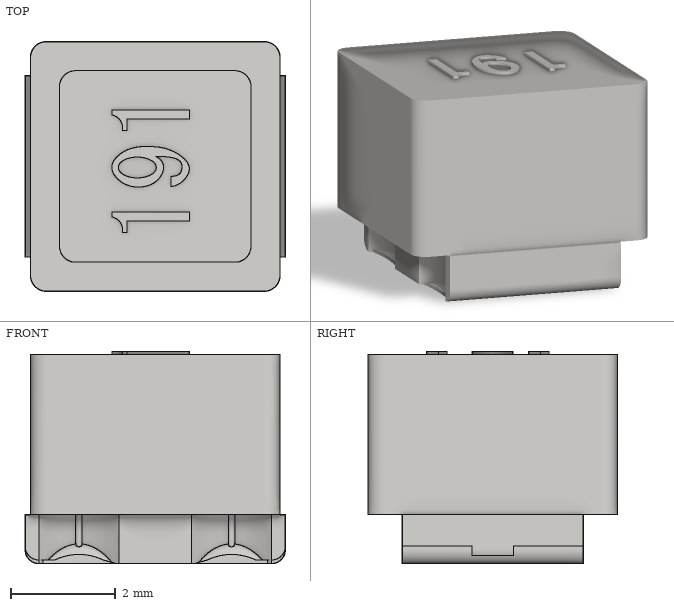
import cadquery as cq
import math

BASE_LENGTH = 5.0
BASE_WIDTH = 3.485
BASE_HEIGHT = 0.94
BASE_ROUND = 0.265

HOUSING_SIDE = 4.8
HOUSING_HEIGHT = 3.08
CORE_SIDE = 3.68
CORNER_RADIUS = 0.31

NOTCH_CENTER = 1.465
NOTCH_WIDTH = 1.53
NOTCH_DEPTH = 0.36

PLATE_THICKNESS = 0.07
PLATE_INNER_END = 0.75
PLATE_TAPER = 0.25
SCOOP_DEPTH = 0.135
SCOOP_SETBACK = 0.065
TAB_GAP = 0.8
TAB_GAP_FLOOR = 0.16

SOLDER_HEIGHT = 0.38
SOLDER_SLOPE = 42.0
SOLDER_CROWN_RADIUS = 1.8

WIRE_DIAMETER = 0.125

DIGIT_HEIGHT = 0.06
DIGIT_LEFT = -0.835
DIGIT_RIGHT = 0.655
ONE_TOP_EDGES = (1.085, -0.875)
ONE_STROKE = 0.17
ONE_FLAG_LENGTH = 0.395
ONE_FLAG_LEFT = -0.63
ONE_FLAG_RIGHT = -0.54
ONE_FLAG_CURVE = (-0.675, -0.195)
ONE_TIP = 0.095
SIX_EYE_CENTER = (-0.345, -0.02)
SIX_EYE_RADII = (0.365, 0.2)
SIX_TAIL_START = (0.305, -0.19)
SIX_TAIL_END = (0.305, -0.385)
SIX_THROAT = (0.01, 0.195)

HALF_LENGTH = BASE_LENGTH / 2
HALF_WIDTH = BASE_WIDTH / 2
HOUSING_TOP = BASE_HEIGHT + HOUSING_HEIGHT
NOTCH_BACK = -HALF_WIDTH + NOTCH_DEPTH
SIDES = (-1, 1)


def rounded_block(side):
    """Square block with rounded upright edges, as tall as the housing."""
    block = cq.Workplane("XY", origin=(0, 0, BASE_HEIGHT)).rect(side, side).extrude(HOUSING_HEIGHT)
    return block.edges("|Z").fillet(CORNER_RADIUS)


def edge_hollow(x, side, depth, arc_start=0):
    """Prism sunk into a long side of the base; its back is an arc from arc_start to depth."""
    edge = side * HALF_WIDTH
    left = x - NOTCH_WIDTH / 2
    right = x + NOTCH_WIDTH / 2
    outline = (
        cq.Workplane("XY")
        .moveTo(left, edge - side * arc_start)
        .threePointArc((x, edge - side * depth), (right, edge - side * arc_start))
    )
    if arc_start > 0:
        outline = outline.lineTo(right, edge).lineTo(left, edge)
    return outline.close().extrude(BASE_HEIGHT)


def notch(x, side):
    """Notch through the full height of the base."""
    return edge_hollow(x, side, NOTCH_DEPTH)


def plate_scoop(x, side):
    """Shallow hollow that sets the terminal edge back inside a notch."""
    return edge_hollow(x, side, SCOOP_DEPTH, SCOOP_SETBACK)


def round_ended_block():
    """Base envelope, rounded along its two lower end edges."""
    block = cq.Workplane("XY").box(BASE_LENGTH, BASE_WIDTH, BASE_HEIGHT, centered=(True, True, False))
    return block.edges("|Y and <Z").fillet(BASE_ROUND)


def plate(side):
    """Bottom plate: its upper face is its lower face raised by the plate thickness."""
    taper_end = PLATE_INNER_END + PLATE_TAPER
    arc_center = HALF_LENGTH - BASE_ROUND
    reach = BASE_ROUND * math.sin(math.radians(45))
    arc_low = (side * (arc_center + reach), BASE_ROUND - reach)
    arc_high = (arc_low[0], arc_low[1] + PLATE_THICKNESS)
    sheet = (
        cq.Workplane("XZ")
        .moveTo(side * PLATE_INNER_END, 0)
        .lineTo(side * arc_center, 0)
        .threePointArc(arc_low, (side * HALF_LENGTH, BASE_ROUND))
        .lineTo(side * HALF_LENGTH, BASE_ROUND + PLATE_THICKNESS)
        .threePointArc(arc_high, (side * arc_center, PLATE_THICKNESS))
        .lineTo(side * taper_end, PLATE_THICKNESS)
        .close()
        .extrude(HALF_WIDTH, both=True)
    )
    for edge in SIDES:
        sheet = sheet.cut(plate_scoop(side * NOTCH_CENTER, edge))
    gap = (
        cq.Workplane("XY", origin=(side * HALF_LENGTH, 0, TAB_GAP_FLOOR))
        .rect(2 * BASE_ROUND, TAB_GAP)
        .extrude(BASE_HEIGHT)
    )
    return sheet.cut(gap)


def solder_crown(side):
    """Tilted cylinder whose upper side is the surface of the solder."""
    slope = math.radians(SOLDER_SLOPE)
    axis = cq.Vector(0, math.cos(slope), math.sin(slope))
    below = cq.Vector(0, math.sin(slope), -math.cos(slope)) * SOLDER_CROWN_RADIUS
    start = cq.Vector(side * NOTCH_CENTER, NOTCH_BACK, SOLDER_HEIGHT) + below - axis * BASE_LENGTH
    return cq.Workplane(cq.Solid.makeCylinder(SOLDER_CROWN_RADIUS, 2 * BASE_LENGTH, start, axis))


def solder(side):
    """Sloped fillet in the front notch, with a slightly crowned upper face."""
    x = side * NOTCH_CENTER
    fill = notch(x, -1).cut(plate_scoop(x, -1))
    return fill.intersect(solder_crown(side))


def make_wire(side):
    """Upright wire end, half sunk in the back of its notch and standing on the solder."""
    rod = (
        cq.Workplane("XY")
        .center(side * NOTCH_CENTER, NOTCH_BACK)
        .circle(WIRE_DIAMETER / 2)
        .extrude(BASE_HEIGHT)
    )
    return rod.cut(solder_crown(side))


def make_terminal(side):
    """Plate and solder as one body."""
    return plate(side).union(solder(side))


def make_base(fitted_bodies):
    """Base block with its notches and seats for the wires and terminals."""
    base = round_ended_block()
    for x in SIDES:
        for edge in SIDES:
            base = base.cut(notch(x * NOTCH_CENTER, edge))
    for body in fitted_bodies:
        base = base.cut(body)
    return base


def make_one(top_edge):
    """Digit one with a curved flag, hanging from its straight top edge."""
    return (
        cq.Workplane("XY", origin=(0, top_edge, HOUSING_TOP))
        .moveTo(DIGIT_LEFT, 0)
        .lineTo(DIGIT_RIGHT, 0)
        .lineTo(DIGIT_RIGHT, -ONE_STROKE)
        .lineTo(ONE_FLAG_RIGHT, -ONE_STROKE)
        .lineTo(ONE_FLAG_RIGHT, -ONE_FLAG_LENGTH)
        .lineTo(ONE_FLAG_LEFT, -ONE_FLAG_LENGTH)
        .threePointArc(ONE_FLAG_CURVE, (DIGIT_LEFT, -ONE_TIP))
        .close()
        .extrude(DIGIT_HEIGHT)
    )


def make_six():
    """Digit six: inside of the tail, then around the bowl and over to the tail end."""
    inner_curve = [(0.51, -0.045), SIX_THROAT]
    outer_curve = [
        (0.16, -0.02),
        (0.055, -0.25),
        (-0.35, -0.395),
        (-0.7, -0.26),
        (DIGIT_LEFT, -0.02),
        (-0.62, 0.275),
        (-0.15, 0.385),
        (0.42, 0.25),
        (DIGIT_RIGHT, -0.045),
        (0.54, -0.27),
        SIX_TAIL_END,
    ]
    top_plane = cq.Workplane("XY", origin=(0, 0, HOUSING_TOP))
    loop = (
        top_plane
        .moveTo(*SIX_TAIL_START)
        .spline(inner_curve, tangents=[(1, 0), (-1, 0)], includeCurrent=True)
        .spline(outer_curve, includeCurrent=True)
        .close()
        .extrude(DIGIT_HEIGHT)
    )
    eye = top_plane.center(*SIX_EYE_CENTER).ellipse(*SIX_EYE_RADII).extrude(DIGIT_HEIGHT)
    return loop.cut(eye)


core = rounded_block(CORE_SIDE)
housing = rounded_block(HOUSING_SIDE).cut(core)
wires = [make_wire(side) for side in SIDES]
terminals = [make_terminal(side) for side in SIDES]
base = make_base(wires + terminals)
ones = [make_one(top_edge) for top_edge in ONE_TOP_EDGES]
six = make_six()

bodies = [housing, core, base, *wires, *terminals, *ones, six]
result = cq.Compound.makeCompound([body.val() for body in bodies])